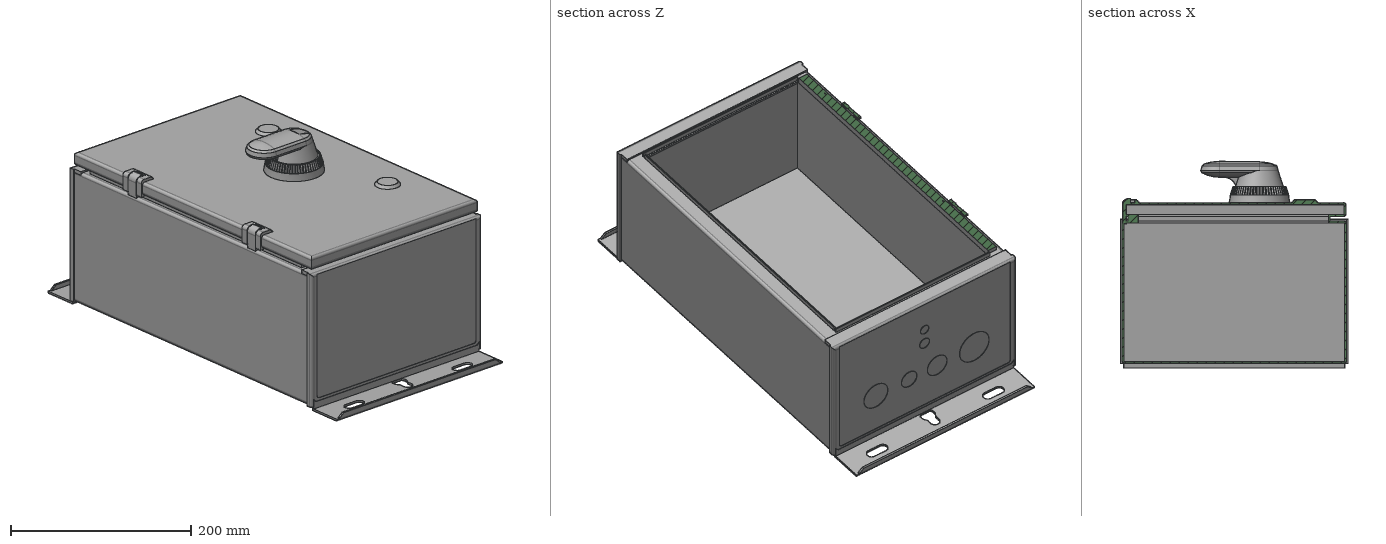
import cadquery as cq
import math


SHEET = 2.5
BEND = 3.5
STEP = 0.5

BODY_HALF_X = 203.0
PANEL_HALF_Y = 124.7
DEPTH = 253.0
WRAP_HALF_Y = DEPTH / 2
WRAP_EDGE_X = 195.5
BODY_BOTTOM = 5.0
PANEL_TOP = 163.5
END_TOP = 165.5
END_FLANGE_X = 184.5

LID_BOTTOM = 168.3
RIM = 2.0
RIM_X = 181.0
RIM_Y = 106.5
CROSS_RIM_HALF_X = 177.0
FRONT_RIM_Y = -118.0

FOOT_END_X = 241.8
FOOT_HALF_Y = 123.0
FOOT_BEND = 2.0
LIP_HEIGHT = 7.5
LIP_HALF_Y = 119.5
LIP_CORNER = 6.5
SLOT_X, SLOT_Y = 222.5, 80.5
SLOT_LENGTH, SLOT_WIDTH = 27.0, 11.5
KEYHOLE_X = 208.5
KEYHOLE_RADIUS = 8.5
KEYHOLE_NECK = 11.5
KEYHOLE_TIP_X = 227.2

EMBOSS_HALF_Y = 118.0
EMBOSS_BOTTOM = 14.0
BAND_TOP = 10.5

KNOCKOUTS = [
    (67.0, 63.0, 16.5),
    (21.5, 63.0, 10.5),
    (-17.5, 63.0, 13.5),
    (-68.5, 63.0, 20.5),
    (0, 125.5, 6.0),
    (0, 105.5, 7.0),
]

LID_TOP = 183.5
LID_HALF_X = 198.0
LID_FRONT_Y, LID_REAR_Y = -122.5, 124.5
LID_FILLET = 3.5
BUTTON_X, BUTTON_Y = 99.5, 78.5
BUTTON_BASE_RADIUS, BUTTON_TOP_RADIUS = 14.5, 11.5
BUTTON_HEIGHT = 3.5

HINGE_X = 99.5
HINGE_WIDTH = 31.0
HINGE_REAR_Y, HINGE_FRONT_Y = -106.0, -124.5
HINGE_TOP = 187.0
HINGE_BOTTOM = 166.5
HINGE_FILLET = 4.5
HINGE_BEVEL = 3.0
STRAP_WIDTH = 14.0
STRAP_TOP = 188.5
STRAP_REAR_Y = -115.0
STRAP_ROUND = 7.5
WINDOW_REAR_Y = -110.5

HANDLE_Y = 28.0
HANDLE_TOP = 229.5
BASE_RADIUS = 34.0
BAND_BOTTOM_Z, BAND_TOP_Z = 192.5, 201.5
BAND_BOTTOM_RADIUS, BAND_TOP_RADIUS = 32.5, 29.5
TEETH = 60
TOOTH_DEPTH = 1.5
CONE_RADIUS = 26.5
BAR_END_Y = -16.5
BAR_HALF_WIDTH = 21.0
BAR_BOTTOM = 212.0
BAR_UNDER = 20.0
BAR_UNDER_Z = 217.0
BAR_SIDE_Z = 219.5
BAR_SHOULDER = 19.5
BAR_SHOULDER_Z = 224.5
BAR_CROWN = 17.0
BAR_CROWN_Z = 227.0
RIB_WIDTH = 3.0
RIB_FOOT_Y, RIB_TIP_Y = 2.0, -11.5
RIB_HOLLOW = (-2.0, 208.0)
POINTER_WIDTH = 17.5
POINTER_DROP = 5.0


def block(x, y, z):
    """Box between the (low, high) limits given along each axis."""
    size = (x[1] - x[0], y[1] - y[0], z[1] - z[0])
    return cq.Workplane("XY").box(*size, centered=False).translate((x[0], y[0], z[0]))


def both_ends(shape):
    """The shape together with its mirror image at the other X end."""
    return shape.union(shape.mirror("YZ"))


def end_panel():
    """Left end panel: a folded sheet with a top flange and a leg down to the foot."""
    panel = block((-BODY_HALF_X, -WRAP_EDGE_X), (-WRAP_HALF_Y, WRAP_HALF_Y), (BODY_BOTTOM, END_TOP))
    panel = panel.edges("<X").edges("|Z or >Z").fillet(BEND)
    flange = block(
        (-WRAP_EDGE_X, -END_FLANGE_X), (-PANEL_HALF_Y, PANEL_HALF_Y), (PANEL_TOP - SHEET, END_TOP)
    )
    leg = block(
        (-BODY_HALF_X, -BODY_HALF_X + SHEET), (-FOOT_HALF_Y, FOOT_HALF_Y), (0, BODY_BOTTOM + BEND)
    )
    return panel.union(flange).union(leg)


def foot():
    """Left mounting foot with an upturned lip, two slots and a keyhole."""
    inner_x = -BODY_HALF_X + SHEET
    plate = block((-FOOT_END_X, inner_x), (-FOOT_HALF_Y, FOOT_HALF_Y), (0, SHEET))
    plate = plate.edges("<Z and |Y").fillet(FOOT_BEND)
    lip = (
        cq.Workplane("YZ", origin=(-FOOT_END_X, 0, 0))
        .moveTo(-LIP_HALF_Y, SHEET)
        .lineTo(-LIP_HALF_Y + LIP_CORNER, LIP_HEIGHT)
        .lineTo(LIP_HALF_Y - LIP_CORNER, LIP_HEIGHT)
        .lineTo(LIP_HALF_Y, SHEET)
        .close()
        .extrude(SHEET)
    )
    slots = (
        cq.Workplane("XY")
        .pushPoints([(-SLOT_X, SLOT_Y), (-SLOT_X, -SLOT_Y)])
        .slot2D(SLOT_LENGTH, SLOT_WIDTH, 90)
        .extrude(SHEET)
    )
    neck_length = KEYHOLE_TIP_X - KEYHOLE_X + KEYHOLE_NECK / 2
    neck = (
        cq.Workplane("XY")
        .center(-KEYHOLE_TIP_X + neck_length / 2, 0)
        .slot2D(neck_length, KEYHOLE_NECK)
        .extrude(SHEET)
    )
    head = cq.Workplane("XY").center(-KEYHOLE_X, 0).circle(KEYHOLE_RADIUS).extrude(SHEET)
    return plate.union(lip).cut(slots).cut(neck).cut(head)


def end_embossing():
    """Shallow recesses that frame the left end panel and its bottom band."""
    outer_x = -BODY_HALF_X
    field = block(
        (outer_x, outer_x + STEP), (-EMBOSS_HALF_Y, EMBOSS_HALF_Y), (EMBOSS_BOTTOM, END_TOP)
    )
    field = field.edges("|X and <Z").fillet(BEND)
    flare_y = WRAP_HALF_Y - BEND
    flare = EMBOSS_BOTTOM - BAND_TOP
    band = (
        cq.Workplane("YZ", origin=(outer_x, 0, 0))
        .moveTo(-flare_y, SHEET)
        .lineTo(-flare_y, BAND_TOP + flare)
        .lineTo(-flare_y + flare, BAND_TOP)
        .lineTo(flare_y - flare, BAND_TOP)
        .lineTo(flare_y, BAND_TOP + flare)
        .lineTo(flare_y, SHEET)
        .close()
        .extrude(STEP)
    )
    return field.union(band)


def knockouts():
    """Round knockouts, set in slightly from the embossed field of the -X end panel."""
    discs = cq.Workplane("XY")
    for y, z, radius in KNOCKOUTS:
        plane = cq.Workplane("YZ", origin=(-BODY_HALF_X, y, z))
        discs = discs.union(plane.circle(radius).extrude(2 * STEP))
    return discs


def body():
    """Hollow body with folded end panels, feet and an open top."""
    tub = block(
        (-WRAP_EDGE_X, WRAP_EDGE_X), (-PANEL_HALF_Y, PANEL_HALF_Y), (BODY_BOTTOM, PANEL_TOP)
    )
    tub = tub.edges("|X").fillet(BEND)
    shell = tub.union(both_ends(end_panel()))
    inner_x = BODY_HALF_X - SHEET
    inner_y = PANEL_HALF_Y - SHEET
    cavity = block(
        (-inner_x, inner_x), (-inner_y, inner_y), (BODY_BOTTOM + SHEET, PANEL_TOP - SHEET)
    )
    mouth = block(
        (-CROSS_RIM_HALF_X, CROSS_RIM_HALF_X), (-RIM_Y, RIM_Y - RIM), (PANEL_TOP - SHEET, END_TOP)
    )
    shell = shell.cut(cavity).cut(mouth).cut(both_ends(end_embossing())).cut(knockouts())
    return shell.union(both_ends(foot()))


def rim():
    """Upstanding rims around the mouth, carrying the lid; the corners stay open."""
    height = (PANEL_TOP - SHEET, LID_BOTTOM)
    across = (-CROSS_RIM_HALF_X, CROSS_RIM_HALF_X)
    end = block((-RIM_X, -RIM_X + RIM), (-RIM_Y, RIM_Y), height)
    front = block(across, (FRONT_RIM_Y, -RIM_Y), height)
    rear = block(across, (RIM_Y - RIM, RIM_Y), height)
    return both_ends(end).union(front).union(rear)


def lid():
    """Hollow lid with a return flange resting on the rim, and two buttons on top."""
    pan = block((-LID_HALF_X, LID_HALF_X), (LID_FRONT_Y, LID_REAR_Y), (LID_BOTTOM, LID_TOP))
    pan = pan.faces("<Z or >Z").edges().fillet(LID_FILLET)
    inner_x = LID_HALF_X - SHEET
    cavity = block(
        (-inner_x, inner_x),
        (LID_FRONT_Y + SHEET, LID_REAR_Y - SHEET),
        (LID_BOTTOM + SHEET, LID_TOP - SHEET),
    )
    opening = block(
        (-CROSS_RIM_HALF_X, CROSS_RIM_HALF_X), (-RIM_Y, RIM_Y - RIM), (LID_BOTTOM, LID_TOP - SHEET)
    )
    button = (
        cq.Workplane("XZ")
        .moveTo(0, LID_TOP - SHEET)
        .lineTo(BUTTON_BASE_RADIUS, LID_TOP - SHEET)
        .lineTo(BUTTON_BASE_RADIUS, LID_TOP)
        .lineTo(BUTTON_TOP_RADIUS, LID_TOP + BUTTON_HEIGHT)
        .lineTo(0, LID_TOP + BUTTON_HEIGHT)
        .close()
        .revolve(360, (0, 0, 0), (0, 1, 0))
        .translate((-BUTTON_X, BUTTON_Y, 0))
    )
    return pan.cut(cavity).cut(opening).union(both_ends(button))


def hinge(x):
    """Hinge leaf bent over the front edge of the lid, with a strap in its window."""
    half = HINGE_WIDTH / 2
    strap_half = STRAP_WIDTH / 2
    leaf = block((x - half, x + half), (HINGE_FRONT_Y, HINGE_REAR_Y), (HINGE_BOTTOM, HINGE_TOP))
    leaf = leaf.edges("|X and >Z and <Y").fillet(HINGE_FILLET)
    leaf = leaf.edges("|X and >Z and >Y").chamfer(HINGE_BEVEL)
    under_lid = block(
        (x - half, x + half), (LID_FRONT_Y + SHEET, HINGE_REAR_Y), (HINGE_BOTTOM, LID_TOP - SHEET)
    )
    window = block(
        (x - strap_half, x + strap_half), (HINGE_FRONT_Y, WINDOW_REAR_Y), (HINGE_BOTTOM, HINGE_TOP)
    )
    strap = block(
        (x - strap_half, x + strap_half),
        (HINGE_FRONT_Y + STEP, STRAP_REAR_Y),
        (PANEL_TOP - BEND, STRAP_TOP),
    )
    strap = strap.edges("|X and >Z and <Y").fillet(STRAP_ROUND)
    inside_lid = block(
        (x - strap_half, x + strap_half),
        (LID_FRONT_Y + SHEET, STRAP_REAR_Y),
        (PANEL_TOP - BEND, LID_TOP - SHEET),
    )
    return leaf.cut(under_lid).cut(window).union(strap.cut(inside_lid))


def star(radius):
    """Corner points of the toothed outline of the grip band."""
    points = []
    for i in range(2 * TEETH):
        r = radius - TOOTH_DEPTH * (i % 2)
        angle = math.pi * i / TEETH
        points.append((r * math.cos(angle), r * math.sin(angle)))
    return points


def knob():
    """Turned base, toothed grip band and cone of the handle, about the Z axis."""
    turned = (
        cq.Workplane("XZ")
        .moveTo(0, LID_TOP - SHEET)
        .lineTo(BASE_RADIUS, LID_TOP - SHEET)
        .lineTo(BASE_RADIUS, LID_TOP)
        .lineTo(BAND_BOTTOM_RADIUS, BAND_BOTTOM_Z)
        .lineTo(CONE_RADIUS, BAND_BOTTOM_Z)
        .lineTo(CONE_RADIUS, BAND_TOP_Z)
        .lineTo(BAR_HALF_WIDTH, BAR_SIDE_Z)
        .lineTo(0, BAR_SIDE_Z)
        .close()
        .revolve(360, (0, 0, 0), (0, 1, 0))
    )
    band = (
        cq.Workplane("XY", origin=(0, 0, BAND_BOTTOM_Z))
        .polyline(star(BAND_BOTTOM_RADIUS))
        .close()
        .workplane(offset=BAND_TOP_Z - BAND_BOTTOM_Z)
        .polyline(star(BAND_TOP_RADIUS))
        .close()
        .loft(ruled=True)
    )
    return turned.union(band)


def arc_middle(half_width, edge_z, centre_z):
    """Halfway point of a shallow arc from (half_width, edge_z) that is level at (0, centre_z)."""
    rise = centre_z - edge_z
    sweep = 2 * math.atan2(abs(rise), half_width)
    radius = half_width / math.sin(sweep)
    drop = radius * (1 - math.cos(sweep / 2))
    return radius * math.sin(sweep / 2), centre_z - math.copysign(drop, rise)


def bar_half_section(y):
    """Right half of the bar's section at the given Y, closed along the bar's middle plane."""
    return (
        cq.Workplane("XZ", origin=(0, y, 0))
        .moveTo(0, BAR_BOTTOM)
        .threePointArc(arc_middle(BAR_UNDER, BAR_UNDER_Z, BAR_BOTTOM), (BAR_UNDER, BAR_UNDER_Z))
        .lineTo(BAR_HALF_WIDTH, BAR_SIDE_Z)
        .lineTo(BAR_SHOULDER, BAR_SHOULDER_Z)
        .lineTo(BAR_CROWN, BAR_CROWN_Z)
        .threePointArc(arc_middle(BAR_CROWN, BAR_CROWN_Z, HANDLE_TOP), (0, HANDLE_TOP))
        .close()
    )


def bar():
    """Crowned grip bar with round ends, from the knob's axis toward -Y, with a pointer flat."""
    straight = both_ends(bar_half_section(HANDLE_Y).extrude(HANDLE_Y - BAR_END_Y))
    rear_end = bar_half_section(HANDLE_Y).revolve(180, (0, 0, 0), (0, 1, 0))
    front_end = bar_half_section(BAR_END_Y).revolve(180, (0, 0, 0), (0, -1, 0))
    pointer = (
        cq.Workplane("YZ", origin=(-POINTER_WIDTH / 2, 0, 0))
        .moveTo(HANDLE_Y, HANDLE_TOP - STEP)
        .lineTo(HANDLE_Y, HANDLE_TOP + STEP)
        .lineTo(HANDLE_Y + BAR_HALF_WIDTH, HANDLE_TOP + STEP)
        .lineTo(HANDLE_Y + BAR_HALF_WIDTH, HANDLE_TOP - POINTER_DROP)
        .close()
        .extrude(POINTER_WIDTH)
    )
    return straight.union(front_end).union(rear_end).cut(pointer)


def rib():
    """Thin web with a hollow curved edge, bracing the bar against the cone."""
    low_z = BAND_TOP_Z
    high_z = BAR_BOTTOM + RIB_WIDTH
    return (
        cq.Workplane("YZ", origin=(-RIB_WIDTH / 2, 0, 0))
        .moveTo(HANDLE_Y, low_z)
        .lineTo(RIB_FOOT_Y, low_z)
        .threePointArc(RIB_HOLLOW, (RIB_TIP_Y, BAR_BOTTOM))
        .lineTo(RIB_TIP_Y, high_z)
        .lineTo(HANDLE_Y, high_z)
        .close()
        .extrude(RIB_WIDTH)
    )


handle = knob().translate((0, HANDLE_Y, 0)).union(bar()).union(rib())

result = body().union(rim()).union(lid()).union(handle)
for hinge_x in (-HINGE_X, HINGE_X):
    result = result.union(hinge(hinge_x))